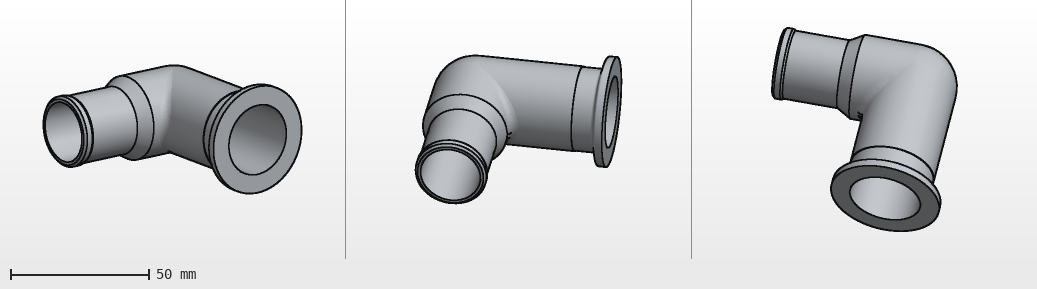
import cadquery as cq
import math

body_radius = 15.5
flange_leg_end = 50.05
hose_leg_end = 50.0
inner_corner_fillet = 3.0

body_end = 38.0
neck_radius = 15.25
flange_radius = 20.0
flange_cone_start = 45.7
flange_cone_angle = math.radians(15)
flange_round = 0.85

taper_start = 20.8
taper_end = 26.0
hose_radius = 12.5
bead_radius = 13.0
bead_start = 46.0
bead_full = 46.8
bead_chamfer = 0.9

drill_half_angle = math.radians(59)
flange_bore_radius = 13.0
flange_bore_end = -2.7
hose_bore_radius = 11.0
hose_bore_end = -5.45


def turned(profile):
    """Revolve (distance, radius) points around the X axis."""
    return cq.Workplane("XY").polyline(profile).close().revolve(360, (0, 0, 0), (1, 0, 0))


def along_hose_leg(solid):
    """Swing a solid from the +X leg to the -Y leg."""
    half_turned = solid.rotate((0, 0, 0), (1, 0, 0), 180)
    return half_turned.rotate((0, 0, 0), (0, 0, 1), -90)


def drilled_bore(radius, full_depth, mouth):
    tip = full_depth - radius / math.tan(drill_half_angle)
    return turned([(tip, 0), (full_depth, radius), (mouth, radius), (mouth, 0)])


def elbow_body():
    flange_side = turned([(0, 0), (0, body_radius), (body_end, body_radius), (body_end, 0)])
    hose_side = along_hose_leg(
        turned([(0, 0), (0, body_radius), (taper_start, body_radius), (taper_start, 0)])
    )
    corner_dome = cq.Workplane("XY").sphere(body_radius)
    legs = flange_side.union(hose_side)
    inner_corner = (body_radius, -body_radius, 0)
    legs = legs.edges(cq.selectors.NearestToPointSelector(inner_corner)).fillet(inner_corner_fillet)
    return legs.union(corner_dome)


def flange_end():
    cone_end = flange_cone_start + (flange_radius - neck_radius) * math.tan(flange_cone_angle)
    flange = turned([
        (body_end, 0),
        (body_end, neck_radius),
        (flange_cone_start, neck_radius),
        (cone_end, flange_radius),
        (flange_leg_end, flange_radius),
        (flange_leg_end, 0),
    ])
    cone_edges = cq.selectors.BoxSelector(
        (flange_cone_start - flange_round, -flange_radius, -flange_radius),
        (cone_end + flange_round, flange_radius, flange_radius),
    )
    return flange.edges("%CIRCLE").edges(cone_edges).fillet(flange_round)


def hose_end():
    return along_hose_leg(turned([
        (taper_start, 0),
        (taper_start, body_radius),
        (taper_end, hose_radius),
        (bead_start, hose_radius),
        (bead_full, bead_radius),
        (hose_leg_end - bead_chamfer, bead_radius),
        (hose_leg_end, bead_radius - bead_chamfer),
        (hose_leg_end, 0),
    ]))


flange_bore = drilled_bore(flange_bore_radius, flange_bore_end, flange_leg_end)
hose_bore = along_hose_leg(drilled_bore(hose_bore_radius, hose_bore_end, hose_leg_end))

result = elbow_body().union(flange_end()).union(hose_end()).cut(flange_bore).cut(hose_bore)